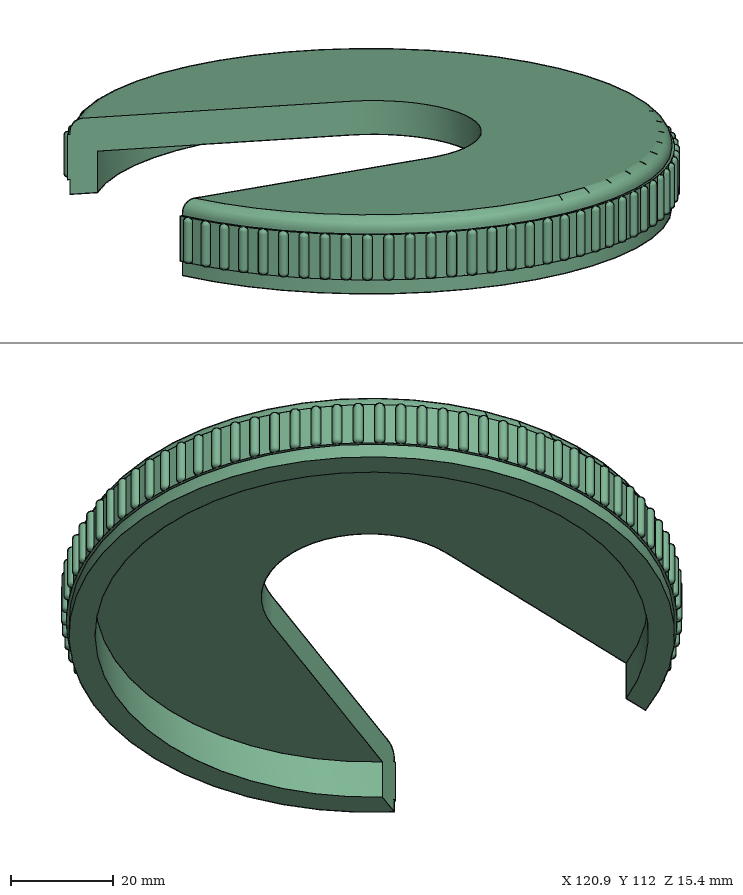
import cadquery as cq
import math

BODY_RADIUS = 59.0
BODY_HEIGHT = 15.4
TOP_FILLET = 2.5
WALL_THICKNESS = 5.1
CAVITY_DEPTH = 8.5

BAND_RADIUS = 59.5
BAND_BOTTOM = 3.0
BAND_HEIGHT = 9.2
RIB_COUNT = 90
RIB_RADIUS = 1.0
RIB_END_FILLET = 0.7

SLOT_RADIUS = 21.0
SLOT_CENTER_Y = 0.8
SLOT_FLARE_ANGLE = math.radians(9.2)


def make_body():
    return (
        cq.Workplane("XY")
        .circle(BODY_RADIUS)
        .extrude(BODY_HEIGHT)
        .faces(">Z")
        .edges()
        .fillet(TOP_FILLET)
    )


def make_band():
    return (
        cq.Workplane("XY")
        .workplane(offset=BAND_BOTTOM)
        .circle(BAND_RADIUS)
        .extrude(BAND_HEIGHT)
    )


def make_cavity():
    return cq.Workplane("XY").circle(BODY_RADIUS - WALL_THICKNESS).extrude(CAVITY_DEPTH)


def make_slot():
    tangent_x = SLOT_RADIUS * math.cos(SLOT_FLARE_ANGLE)
    tangent_y = SLOT_CENTER_Y + SLOT_RADIUS * math.sin(SLOT_FLARE_ANGLE)
    mouth_y = -(BAND_RADIUS + 2 * RIB_RADIUS)
    mouth_x = tangent_x + (tangent_y - mouth_y) * math.tan(SLOT_FLARE_ANGLE)
    return (
        cq.Workplane("XY")
        .moveTo(-mouth_x, mouth_y)
        .lineTo(-tangent_x, tangent_y)
        .threePointArc((0, SLOT_CENTER_Y + SLOT_RADIUS), (tangent_x, tangent_y))
        .lineTo(mouth_x, mouth_y)
        .close()
        .extrude(BODY_HEIGHT)
    )


def rib_angles():
    """Angles of the ribs that lie clear of the slot mouth, with one rib on +Y."""
    pitch = 2 * math.pi / RIB_COUNT
    side_cos = math.cos(SLOT_FLARE_ANGLE)
    side_sin = math.sin(SLOT_FLARE_ANGLE)
    angles = []
    for index in range(RIB_COUNT):
        angle = math.pi / 2 + index * pitch
        x = BAND_RADIUS * math.cos(angle)
        y = BAND_RADIUS * math.sin(angle)
        gap_to_slot = abs(x) * side_cos + (y - SLOT_CENTER_Y) * side_sin - SLOT_RADIUS
        if y > 0 or gap_to_slot > RIB_RADIUS:
            angles.append(angle)
    return angles


def make_ribs():
    rib = (
        cq.Workplane("XY")
        .circle(RIB_RADIUS)
        .extrude(BAND_HEIGHT)
        .faces("<Z or >Z")
        .edges()
        .fillet(RIB_END_FILLET)
        .val()
    )
    places = [
        cq.Vector(BAND_RADIUS * math.cos(angle), BAND_RADIUS * math.sin(angle), BAND_BOTTOM)
        for angle in rib_angles()
    ]
    return [rib.translate(place) for place in places]


body = make_body().union(make_band()).cut(make_cavity()).cut(make_slot())
result = cq.Workplane(body.val().fuse(*make_ribs()))